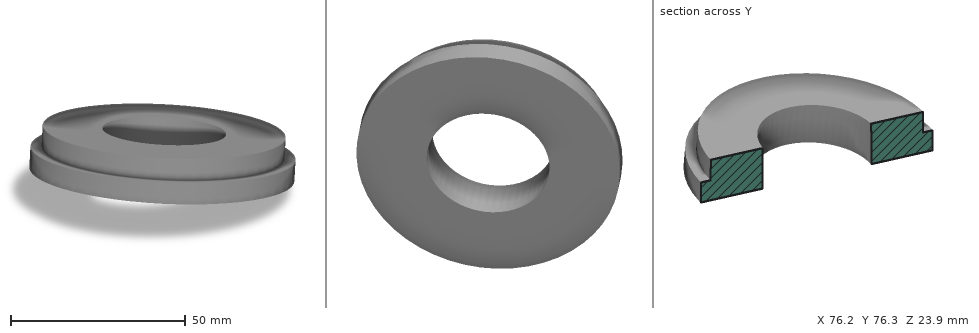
import cadquery as cq

flange_diameter = 76.2
boss_diameter = 69.85
bore_diameter = 35.56
flange_thickness = 6.35
boss_height = 6.35
tilt_angle = 8.95


def stepped_disc():
    """Wide flange with a narrower concentric boss on its upper face."""
    flange = cq.Workplane("XY").circle(flange_diameter / 2).extrude(flange_thickness)
    return flange.faces(">Z").workplane().circle(boss_diameter / 2).extrude(boss_height)


def through_bore():
    """Cylinder that removes the central bore through both steps."""
    total_height = flange_thickness + boss_height
    return cq.Workplane("XY").circle(bore_diameter / 2).extrude(total_height)


ring = stepped_disc().cut(through_bore())

result = ring.rotate((0, 0, 0), (1, 0, 0), -tilt_angle)